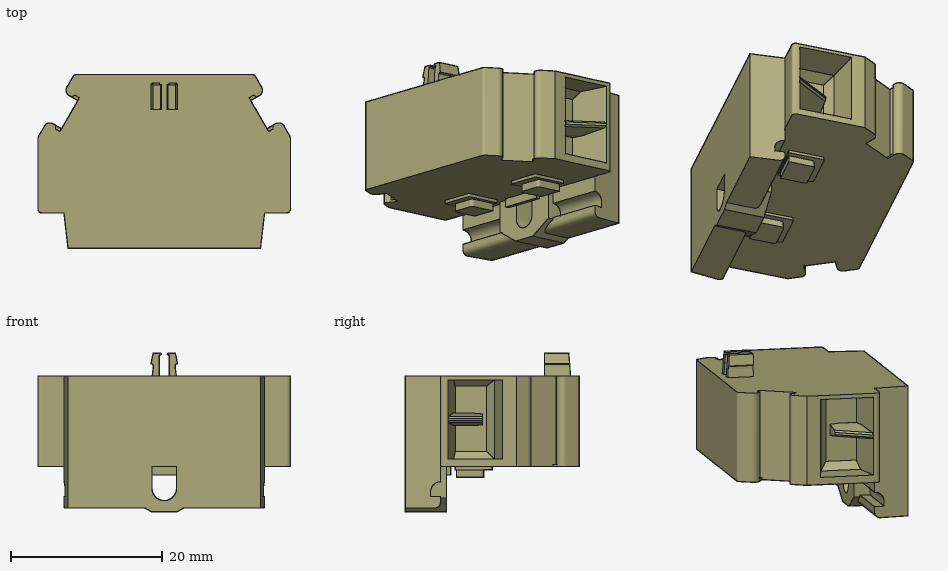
import cadquery as cq
import math


body_half = 16.7
body_height = 12.0
body_depth = 23.0
front_half = 12.73
step_half = 13.27
step_y = 4.68
shoulder_y = 14.67
slant = math.radians(60)
ear_radius = 0.57
hook_radius = 0.8
rear_radius = 0.5

notch_start = 2.57
notch_width = 4.28
notch_depth = 2.15
undercut = 0.45
undercut_length = 0.95
undercut_floor_length = 0.7
undercut_floor_z = 0.3

foot_bottom = -5.48
foot_radius = 0.8
groove_top = -2.0
groove_bottom = -3.95
groove_depth = 1.35
rib_half = 4.88
rib_flat_half = 1.7
rib_slope = math.radians(30)
rib_y = 5.48
rib_bottom = -5.98

window_half = 1.6
window_bottom = -4.48
ledge_half = 3.1
ledge_y = 6.0
ledge_bottom = -1.15

mouth = (body_half, 5.65, 12.83, 1.0, 11.45)
throat = (12.35, 6.38, 11.75, 1.0, 11.45)
entry_floor = (11.0, 6.62, 10.75, 2.0, 10.63)

blade_tip_x = 13.77
blade_tip_y = 10.2
blade_half = 0.85
blade_back_depth = 3.0
blade_nose_half = 0.4
blade_nose_depth = 0.27
blade_edge_half = 0.15
blade_root = 0.35

pin_front_y = 18.38
pin_rear_y = 21.85
pin_rear_top_y = 21.62
pin_height = 3.0
pin_inner = 0.65
pin_lip = 0.37
pin_top_inner = 0.47
pin_lip_height = 0.35
pin_base = 1.6
pin_waist = 1.47
pin_waist_low = 1.05
pin_waist_high = 1.47
pin_barb = 1.77
pin_barb_z = 1.6

pad_x = 6.7
pad_y0, pad_y1 = 6.6, 11.5
pad_height = 0.45
boss_y0, boss_y1 = 6.75, 10.4
boss_bottom = -1.45
pad_radius = 0.25
boss_radius = 0.45


def slant_point(along, inward):
    """Point at a distance along the +X slanted corner and a depth square to it."""
    x = body_half - along * math.cos(slant) - inward * math.sin(slant)
    y = shoulder_y + along * math.sin(slant) - inward * math.cos(slant)
    return (x, y)


def both_sides(shape):
    return shape.union(shape.mirror("YZ"))


def block(x0, x1, y0, y1, z0, z1):
    return cq.Workplane("XY").box(x1 - x0, y1 - y0, z1 - z0, centered=False).translate((x0, y0, z0))


def make_body():
    notch_end = notch_start + notch_width
    lower_hook = slant_point(notch_start, 0)
    upper_hook = slant_point(notch_end, 0)
    rear_corner = (body_half - (body_depth - shoulder_y) / math.tan(slant), body_depth)
    ear_corner = (body_half, step_y)
    right = [
        (front_half, 0),
        (step_half, step_y),
        ear_corner,
        (body_half, shoulder_y),
        lower_hook,
        slant_point(notch_start, notch_depth),
        slant_point(notch_end, notch_depth),
        upper_hook,
        rear_corner,
    ]
    left = [(-x, y) for x, y in reversed(right)]
    body = cq.Workplane("XY").polyline(right + left).close().extrude(body_height)
    rounded = [
        (ear_corner, ear_radius),
        (lower_hook, hook_radius),
        (upper_hook, hook_radius),
        (rear_corner, rear_radius),
    ]
    for (x, y), radius in rounded:
        for side in (1, -1):
            corner = cq.NearestToPointSelector((side * x, y, body_height / 2))
            body = body.edges(corner).fillet(radius)
    return body


def make_undercuts():
    cuts = cq.Workplane("XY")
    for end, outward in ((notch_start, -1), (notch_start + notch_width, 1)):
        outline = [
            slant_point(end, notch_depth),
            slant_point(end + outward * undercut, notch_depth),
            slant_point(end + outward * undercut, notch_depth - undercut_floor_length),
            slant_point(end, notch_depth - undercut_length),
        ]
        cut = cq.Workplane("XY").workplane(offset=undercut_floor_z).polyline(outline).close()
        cuts = cuts.union(cut.extrude(body_height - undercut_floor_z))
    return both_sides(cuts)


def make_foot():
    plan = [(front_half, 0), (step_half, step_y), (-step_half, step_y), (-front_half, 0)]
    foot = cq.Workplane("XY").polyline(plan).close().extrude(foot_bottom)
    foot = foot.edges("|X and >Y and <Z").fillet(foot_radius)

    inner_y = step_y - groove_depth
    arc_base_z = groove_top - groove_depth
    arc_mid = groove_depth * math.sqrt(0.5)
    groove = (
        cq.Workplane("YZ")
        .moveTo(step_y, groove_top)
        .threePointArc((step_y - arc_mid, arc_base_z + arc_mid), (inner_y, arc_base_z))
        .lineTo(inner_y, groove_bottom)
        .lineTo(step_y, groove_bottom)
        .close()
        .extrude(step_half, both=True)
    )

    slope_top = rib_bottom + (rib_half - rib_flat_half) * math.tan(rib_slope)
    section = [(rib_flat_half, rib_bottom), (rib_half, slope_top), (rib_half, 0)]
    section += [(-x, z) for x, z in reversed(section)]
    rib = cq.Workplane("XZ").polyline(section).close().extrude(-rib_y)
    return foot.cut(groove).union(rib)


def make_window():
    arch_z = window_bottom + window_half
    return (
        cq.Workplane("XZ")
        .moveTo(-window_half, 0)
        .lineTo(-window_half, arch_z)
        .threePointArc((0, window_bottom), (window_half, arch_z))
        .lineTo(window_half, 0)
        .close()
        .extrude(-rib_y)
    )


def taper(outer, inner):
    """Ruled solid between two rectangular sections square to X."""
    wires = []
    for x, y0, y1, z0, z1 in (outer, inner):
        corners = [(x, y0, z0), (x, y1, z0), (x, y1, z1), (x, y0, z1)]
        wires.append(cq.Wire.makePolygon([cq.Vector(*c) for c in corners], close=True))
    return cq.Workplane(obj=cq.Solid.makeLoft(wires, True))


def make_wire_entries():
    entry = taper(mouth, throat).union(taper(throat, entry_floor))
    return both_sides(entry)


def make_blades():
    mouth_y = mouth[1]
    root_x = entry_floor[0] - blade_root
    middle_z = (mouth[3] + mouth[4]) / 2
    outline = [
        (body_half, mouth_y),
        (blade_tip_x, blade_tip_y),
        (root_x, blade_tip_y),
        (root_x, mouth_y - blade_root),
        (body_half, mouth_y - blade_root),
    ]
    plan = cq.Workplane("XY").polyline(outline).close().extrude(body_height)

    edge = cq.Vector(blade_tip_x - body_half, blade_tip_y - mouth_y, 0)
    inward = edge.cross(cq.Vector(0, 0, -1))
    upper = [
        (0, blade_edge_half),
        (blade_nose_depth, blade_nose_half),
        (blade_back_depth, blade_half),
        (body_half, blade_half),
    ]
    lower = [(depth, -z) for depth, z in reversed(upper)]
    section_plane = cq.Plane(origin=(body_half, mouth_y, middle_z), xDir=inward, normal=edge)
    wedge = cq.Workplane(section_plane).polyline(upper + lower).close().extrude(body_half, both=True)
    blade = plan.intersect(wedge)
    return both_sides(blade)


def make_pins():
    profile = [
        (pin_inner, 0),
        (pin_base, 0),
        (pin_waist, pin_waist_low),
        (pin_waist, pin_waist_high),
        (pin_barb, pin_barb_z),
        (pin_waist, pin_height),
        (pin_top_inner, pin_height),
        (pin_lip, pin_height - pin_lip_height / 2),
        (pin_inner, pin_height - pin_lip_height),
    ]
    pin = cq.Workplane("XZ").polyline(profile).close().extrude(-pin_rear_y)
    side = [
        (pin_front_y, 0),
        (pin_rear_y, 0),
        (pin_rear_top_y, pin_height),
        (pin_front_y, pin_height),
    ]
    envelope = cq.Workplane("YZ").polyline(side).close().extrude(body_half)
    return both_sides(pin.intersect(envelope)).translate((0, 0, body_height))


def make_pads():
    pad_half = (pad_y1 - pad_y0) / 2
    boss_half = (boss_y1 - boss_y0) / 2
    pad = block(pad_x - pad_half, pad_x + pad_half, pad_y0, pad_y1, -pad_height, 0)
    pad = pad.edges("|Z and >Y").fillet(pad_radius)
    boss = block(pad_x - boss_half, pad_x + boss_half, boss_y0, boss_y1, boss_bottom, 0)
    boss = boss.edges("|Z and >Y").fillet(boss_radius)
    return both_sides(pad.union(boss))


ledge = block(-ledge_half, ledge_half, rib_y, ledge_y, ledge_bottom, 0)

result = make_body().cut(make_undercuts()).cut(make_wire_entries()).union(make_blades())
result = result.union(make_foot()).cut(make_window()).union(ledge)
result = result.union(make_pins()).union(make_pads())